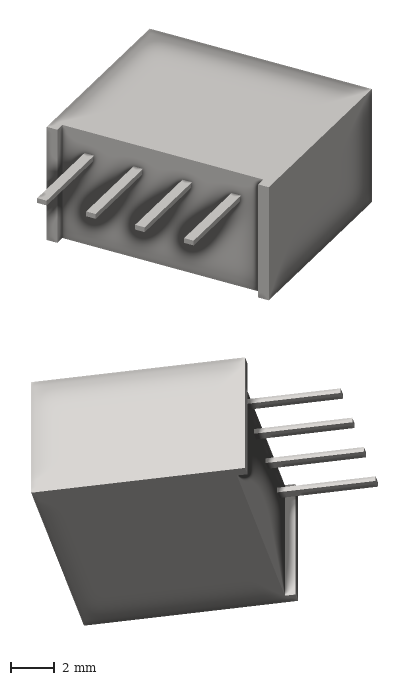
import cadquery as cq

overall_length = 14.1
housing_width = 11.5
housing_height = 6.0
housing_length = 10.0

side_wall = 0.55
wall = 0.5
front_step = 0.5

pin_count = 4
pin_pitch = 2.54
pin_width = 0.5
pin_thickness = 0.25
pin_drop = 1.3

cavity_width = housing_width - 2 * side_wall
cavity_height = housing_height - 2 * wall
cavity_depth = housing_length - front_step - wall
pin_tip_y = housing_length - overall_length
pin_length = front_step - pin_tip_y
pin_z = housing_height / 2 - pin_drop


def block(width, length, height, front_y):
    """Box centred on X and Z that runs toward +Y from front_y."""
    return cq.Workplane("XY").box(width, length, height, centered=(True, False, True)).translate((0, front_y, 0))


def make_housing():
    """Shell open at the front, with its front face set back between the side walls."""
    shell = block(housing_width, housing_length, housing_height, 0)
    setback = block(cavity_width, front_step, housing_height, 0)
    cavity = block(cavity_width, cavity_depth, cavity_height, front_step)
    return shell.cut(setback).cut(cavity).solids()


def make_filling():
    """Block that fills the cavity, flush with the set-back front face."""
    return block(cavity_width, cavity_depth, cavity_height, front_step)


def make_pin(x):
    """Flat pin that stands on the front face of the filling."""
    return block(pin_width, pin_length, pin_thickness, pin_tip_y).translate((x, 0, pin_z))


housing = make_housing()
filling = make_filling()

pins = []
for index in range(pin_count):
    pin_x = (index - (pin_count - 1) / 2) * pin_pitch
    pins.append(make_pin(pin_x))

result = cq.Compound.makeCompound([housing.val(), filling.val(), *[pin.val() for pin in pins]])